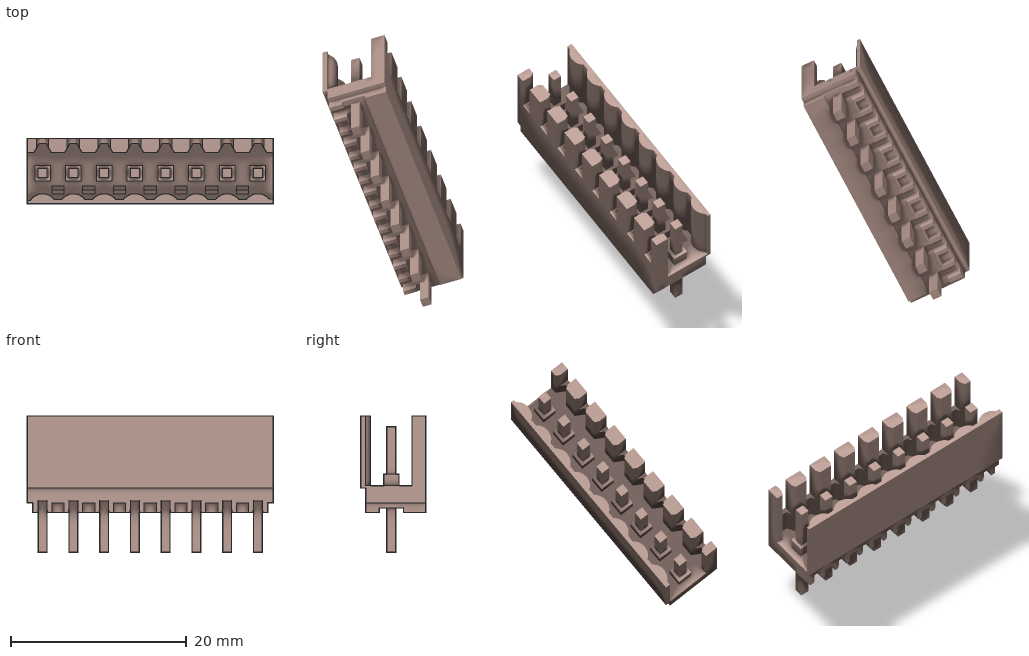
import cadquery as cq
import math

pin_count = 8
pitch = 3.5
length = 28.0
depth = 7.45
pin_row_y = 3.5

base_front_y = 0.6
floor_z = 1.95
wall_top_z = 9.9
wall_height = wall_top_z - floor_z

left_end_thickness = 0.4
front_wall_thickness = 0.48
right_end_thickness = 0.55
front_wall_bottom_z = 1.68
rib_peak_y = 1.15
rib_radius = 1.68

back_wall_thickness = 1.6
back_wall_inner_y = depth - back_wall_thickness
groove_depth = 1.0
groove_mouth_width = 1.95
groove_bottom_width = 0.78
slot_width = 1.4
slot_bottom_z = 4.87

boss_size = 1.75
boss_height = 1.32

foot_height = 1.1
foot_end_inset = 0.62
front_foot_depth = 1.57
back_foot_depth = 2.58
channel_height = 0.5
channel_front_y = base_front_y + front_foot_depth
channel_back_y = depth - back_foot_depth

pin_notch_top_z = 0.22
pin_notch_width = 0.98
lead_in_width = 0.1
lead_in_height = 0.42
gap_notch_width = 1.4
gap_notch_depth = 1.4

pocket_width = 1.4
pocket_front_y = 1.15
pocket_ramp_end_y = 1.6
pocket_back_y = 2.02
pocket_depth = 0.55

pin_size = 1.05
pin_front_y = pin_row_y - pin_size / 2
pin_top_z = 8.68
pin_bottom_z = -5.63

pin_positions = [(i - (pin_count - 1) / 2) * pitch for i in range(pin_count)]
gap_positions = [x + pitch / 2 for x in pin_positions[:-1]]


def block(x_center, width, y_start, y_end, z_start, z_end):
    """Box centred on x_center and spanning the given Y and Z ranges."""
    return (
        cq.Workplane("XY")
        .box(width, y_end - y_start, z_end - z_start, centered=(True, False, False))
        .translate((x_center, y_start, z_start))
    )


def make_base():
    feet = block(0, length - 2 * foot_end_inset, base_front_y, depth, -foot_height, 0)
    channel = block(0, length, channel_front_y, channel_back_y, -foot_height, channel_height - foot_height)
    return block(0, length, base_front_y, depth, 0, floor_z).union(feet.cut(channel))


def make_front_wall():
    wall = block(0, length, 0, left_end_thickness, front_wall_bottom_z, wall_top_z)
    middle_length = pin_positions[-1] - pin_positions[0]
    middle = block(0, middle_length, 0, front_wall_thickness, floor_z, wall_top_z)
    right_end_length = length / 2 - pin_positions[-1]
    right_end_x = (length - right_end_length) / 2
    right_end = block(right_end_x, right_end_length, 0, right_end_thickness, floor_z, wall_top_z)
    skirt = block(0, length, 0, base_front_y, front_wall_bottom_z, floor_z)
    wall = wall.union(middle).union(right_end).union(skirt)

    rib_rise = rib_peak_y - left_end_thickness
    rib_half_width = math.sqrt(rib_radius**2 - (rib_radius - rib_rise) ** 2)
    for x in pin_positions:
        rib = (
            cq.Workplane("XY", origin=(x, 0, floor_z))
            .moveTo(-rib_half_width, left_end_thickness)
            .threePointArc((0, rib_peak_y), (rib_half_width, left_end_thickness))
            .close()
            .extrude(wall_height)
        )
        wall = wall.union(rib)
    return wall


def make_back_wall():
    wall = block(0, length, back_wall_inner_y, depth, floor_z, wall_top_z)
    groove_bottom_y = back_wall_inner_y + groove_depth
    for x in pin_positions:
        groove = (
            cq.Workplane("XY", origin=(x, 0, floor_z))
            .moveTo(-groove_mouth_width / 2, back_wall_inner_y)
            .lineTo(-groove_bottom_width / 2, groove_bottom_y)
            .lineTo(groove_bottom_width / 2, groove_bottom_y)
            .lineTo(groove_mouth_width / 2, back_wall_inner_y)
            .close()
            .extrude(wall_height)
        )
        slot = block(x, slot_width, back_wall_inner_y, depth, slot_bottom_z, wall_top_z)
        wall = wall.cut(groove).cut(slot)
    return wall


def make_pin_notch(x):
    """Notch from the front of the foot to the pin that flares out at its lower end."""
    half_width = pin_notch_width / 2
    flare_half_width = half_width + lead_in_width
    flare_top_z = lead_in_height - foot_height
    return (
        cq.Workplane("XZ", origin=(x, base_front_y, 0))
        .moveTo(-half_width, pin_notch_top_z)
        .lineTo(half_width, pin_notch_top_z)
        .lineTo(half_width, flare_top_z)
        .lineTo(flare_half_width, -foot_height)
        .lineTo(-flare_half_width, -foot_height)
        .lineTo(-half_width, flare_top_z)
        .close()
        .extrude(base_front_y - pin_front_y)
    )


def make_floor_pocket(x):
    """Pocket whose front half ramps down from the floor to a flat bottom."""
    bottom_z = floor_z - pocket_depth
    return (
        cq.Workplane("YZ", origin=(x - pocket_width / 2, 0, 0))
        .moveTo(pocket_front_y, floor_z)
        .lineTo(pocket_ramp_end_y, bottom_z)
        .lineTo(pocket_back_y, bottom_z)
        .lineTo(pocket_back_y, floor_z)
        .close()
        .extrude(pocket_width)
    )


def make_housing():
    housing = make_base().union(make_front_wall()).union(make_back_wall())
    gap_notch_back_y = base_front_y + gap_notch_depth
    boss_front_y = pin_row_y - boss_size / 2
    for x in pin_positions:
        boss = block(x, boss_size, boss_front_y, boss_front_y + boss_size, floor_z, floor_z + boss_height)
        housing = housing.union(boss).cut(make_pin_notch(x)).cut(make_pin(x))
    for x in gap_positions:
        gap_notch = block(x, gap_notch_width, base_front_y, gap_notch_back_y, -foot_height, 0)
        housing = housing.cut(gap_notch).cut(make_floor_pocket(x))
    return housing


def make_pin(x):
    return block(x, pin_size, pin_front_y, pin_front_y + pin_size, pin_bottom_z, pin_top_z)


housing = make_housing()
pins = [make_pin(x) for x in pin_positions]

result = cq.Compound.makeCompound([housing.val(), *[pin.val() for pin in pins]])